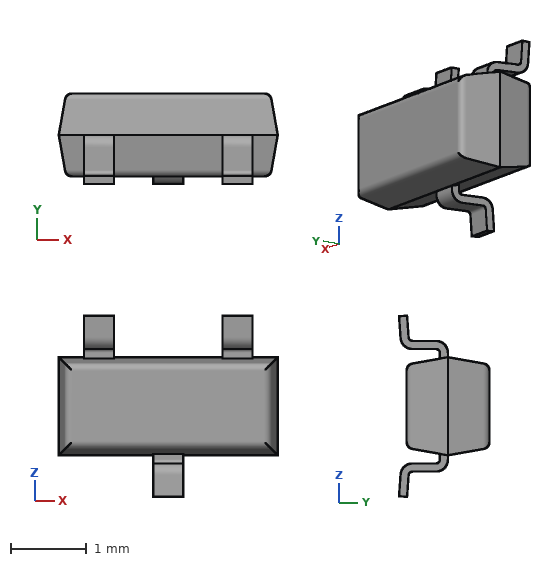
import cadquery as cq
import math

package_length = 2.9
package_depth = 1.1
package_height = 1.3
draft_angle = 10.0
face_edge_radius = 0.1

lead_width = 0.4
lead_thickness = 0.11
inner_bend_radius = 0.05
outer_bend_radius = inner_bend_radius + lead_thickness
foot_angle = 4.0
lead_span = 2.4
standoff = 0.1
shank_rise = 0.216
lead_pitch = 1.83

half_depth = package_depth / 2
half_height = package_height / 2


def make_half_package(direction):
    """Half of the package, tapering from the parting plane to one face."""
    return (
        cq.Workplane("XZ")
        .rect(package_length, package_height)
        .extrude(direction * half_depth, taper=draft_angle)
    )


def make_package():
    """Package with draft on both halves and rounded front and back edges."""
    package = make_half_package(1).union(make_half_package(-1))
    return package.faces("<Y or >Y").edges().fillet(face_edge_radius).solids()


def point_at(center, radius, degrees):
    """Point on a circle in the YZ plane, with the angle counted from +Y to +Z."""
    angle = math.radians(degrees)
    return (
        center[0] + radius * math.cos(angle),
        center[1] + radius * math.sin(angle),
    )


def make_upper_lead(x_center):
    """Lead that leaves the top of the package just in front of the parting plane."""
    lean = math.radians(foot_angle)
    draft_drop = lead_thickness * math.tan(math.radians(draft_angle))
    run_top = half_height + shank_rise

    foot_bend_z = run_top + inner_bend_radius
    foot_rise = lead_span / 2 - foot_bend_z + inner_bend_radius * math.sin(lean)
    foot_length = foot_rise / math.cos(lean)
    tip_y = -(half_depth + standoff)
    foot_bend_y = tip_y + outer_bend_radius * math.cos(lean) + foot_length * math.sin(lean)

    root_bend = (-outer_bend_radius, run_top - outer_bend_radius)
    foot_bend = (foot_bend_y, foot_bend_z)
    bend_start = 270
    bend_end = 180 + foot_angle
    bend_middle = (bend_start + bend_end) / 2
    foot_direction = 90 + foot_angle

    outer_bend_end = point_at(foot_bend, outer_bend_radius, bend_end)
    inner_bend_end = point_at(foot_bend, inner_bend_radius, bend_end)

    profile = (
        cq.Workplane("YZ", origin=(x_center - lead_width / 2, 0, 0))
        .moveTo(0, half_height)
        .lineTo(*point_at(root_bend, outer_bend_radius, 0))
        .threePointArc(
            point_at(root_bend, outer_bend_radius, 45),
            point_at(root_bend, outer_bend_radius, 90),
        )
        .lineTo(*point_at(foot_bend, inner_bend_radius, bend_start))
        .threePointArc(
            point_at(foot_bend, inner_bend_radius, bend_middle),
            inner_bend_end,
        )
        .lineTo(*point_at(inner_bend_end, foot_length, foot_direction))
        .lineTo(*point_at(outer_bend_end, foot_length, foot_direction))
        .lineTo(*outer_bend_end)
        .threePointArc(
            point_at(foot_bend, outer_bend_radius, bend_middle),
            point_at(foot_bend, outer_bend_radius, bend_start),
        )
        .lineTo(*point_at(root_bend, inner_bend_radius, 90))
        .threePointArc(
            point_at(root_bend, inner_bend_radius, 45),
            point_at(root_bend, inner_bend_radius, 0),
        )
        .lineTo(-lead_thickness, half_height - draft_drop)
        .close()
    )
    return profile.extrude(lead_width)


def make_lower_lead(x_center):
    """Same lead, mirrored to the underside of the package."""
    return make_upper_lead(x_center).mirror("XY")


package = make_package()
leads = [make_upper_lead(side * lead_pitch / 2) for side in (-1, 1)]
leads.append(make_lower_lead(0))

result = cq.Compound.makeCompound([package.val(), *[lead.val() for lead in leads]])